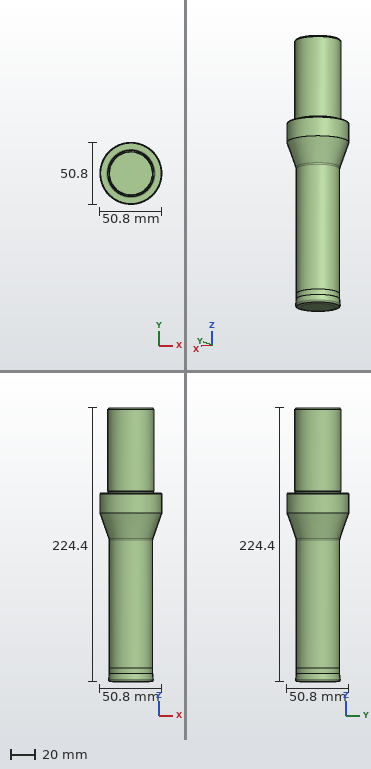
import cadquery as cq
import math

total_length = 224.38
shank_radius = 19.05
shank_top_chamfer = 1.4

collar_radius = 25.4
collar_top = 154.53
collar_height = 16.2
collar_chamfer = 0.6
groove_depth = 0.4
groove_taper_height = 0.5
groove_height = 1.9
face_relief_width = 0.6
face_relief_depth = 0.3

neck_radius = 17.85
neck_cone_angle = 19.3
neck_fillet = 4

head_tip_radius = 14
head_face_edge_radius = 17.6
head_face_rise = 0.5
head_corner_radius = 1.6
head_flank_radius = 18.3
head_flank_start = 2.1
head_seat_radius = 17.4
head_height = 11.5

collar_bottom = collar_top - collar_height
cone_height = (collar_radius - neck_radius) / math.tan(math.radians(neck_cone_angle))
cone_bottom = collar_bottom - cone_height
groove_radius = shank_radius - groove_depth
groove_top = collar_top + groove_height


def make_head():
    """Revolved cutting head with a shallow end face and a slightly tapered flank."""
    profile = (
        cq.Workplane("XZ")
        .moveTo(0, 0)
        .lineTo(head_tip_radius, 0)
        .lineTo(head_face_edge_radius, head_face_rise)
        .radiusArc((head_flank_radius, head_flank_start), -head_corner_radius)
        .lineTo(head_seat_radius, head_height)
        .lineTo(0, head_height)
        .close()
    )
    return profile.revolve(360, (0, 0), (0, 1))


def make_holder(head):
    """Revolved shank, collar and neck, with a seat cut for the head."""
    half_angle = math.radians(neck_cone_angle / 2)
    cone_angle = math.radians(neck_cone_angle)
    tangent = neck_fillet * math.tan(half_angle)
    fillet_start = (neck_radius, cone_bottom - tangent)
    fillet_end = (
        neck_radius + tangent * math.sin(cone_angle),
        cone_bottom + tangent * math.cos(cone_angle),
    )
    fillet_middle = (
        neck_radius + neck_fillet * (1 - math.cos(half_angle)),
        cone_bottom - tangent + neck_fillet * math.sin(half_angle),
    )
    flank_height = head_height - head_flank_start
    flank_taper = (head_flank_radius - head_seat_radius) / flank_height
    neck_end = head_flank_start + (head_flank_radius - neck_radius) / flank_taper
    profile = (
        cq.Workplane("XZ")
        .moveTo(0, neck_end)
        .lineTo(neck_radius, neck_end)
        .lineTo(*fillet_start)
        .threePointArc(fillet_middle, fillet_end)
        .lineTo(collar_radius, collar_bottom)
        .lineTo(collar_radius, collar_top - collar_chamfer)
        .lineTo(collar_radius - collar_chamfer, collar_top)
        .lineTo(shank_radius + face_relief_width, collar_top)
        .lineTo(groove_radius, collar_top - face_relief_depth)
        .lineTo(groove_radius, groove_top - groove_taper_height)
        .lineTo(shank_radius, groove_top)
        .lineTo(shank_radius, total_length - shank_top_chamfer)
        .lineTo(shank_radius - shank_top_chamfer, total_length)
        .lineTo(0, total_length)
        .close()
    )
    return profile.revolve(360, (0, 0), (0, 1)).cut(head)


head = make_head()
holder = make_holder(head)

result = cq.Compound.makeCompound([holder.val(), head.val()])